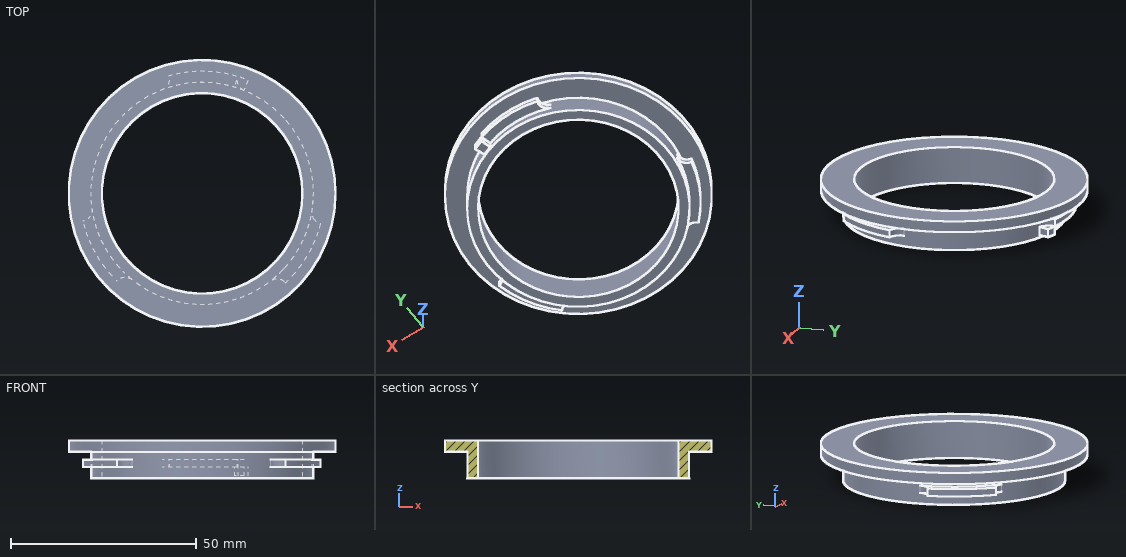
import cadquery as cq
import math

flange_diameter = 72.0
sleeve_diameter = 60.0
bore_diameter = 54.0
total_height = 10.2
flange_thickness = 3.1

lug_count = 3
lug_tip_radius = 33.0
lug_thickness = 2.0
lug_bottom = 3.0
lug_span_angle = 32.7
first_lug_angle = 89.4
lug_end_fillet = 2.95

stop_span_angle = 5.2
stop_height = 2.3

root_overlap = 0.7

sleeve_radius = sleeve_diameter / 2
flange_bottom = total_height - flange_thickness


def polar(radius, angle):
    """Point at a radius and an angle in degrees about the ring axis."""
    radians = math.radians(angle)
    return radius * math.cos(radians), radius * math.sin(radians)


def make_sector(start_angle, end_angle, bottom, height):
    """Block with radial ends, from inside the sleeve wall out to the lug tips."""
    root_radius = sleeve_radius - root_overlap
    middle_angle = (start_angle + end_angle) / 2
    return (
        cq.Workplane("XY", origin=(0, 0, bottom))
        .moveTo(*polar(root_radius, start_angle))
        .lineTo(*polar(lug_tip_radius, start_angle))
        .threePointArc(polar(lug_tip_radius, middle_angle), polar(lug_tip_radius, end_angle))
        .lineTo(*polar(root_radius, end_angle))
        .threePointArc(polar(root_radius, middle_angle), polar(root_radius, start_angle))
        .close()
        .extrude(height)
    )


def make_disc(diameter, bottom, top):
    """Disc about the ring axis between two heights."""
    return cq.Workplane("XY", origin=(0, 0, bottom)).circle(diameter / 2).extrude(top - bottom)


sleeve = make_disc(sleeve_diameter, 0, flange_bottom)
flange = make_disc(flange_diameter, flange_bottom, total_height)
bore = make_disc(bore_diameter, 0, total_height)
result = sleeve.union(flange).cut(bore)

lug_end_angles = []
for lug_index in range(lug_count):
    center_angle = first_lug_angle + lug_index * 360 / lug_count
    start_angle = center_angle - lug_span_angle / 2
    end_angle = center_angle + lug_span_angle / 2
    result = result.union(make_sector(start_angle, end_angle, lug_bottom, lug_thickness))
    lug_end_angles += [start_angle, end_angle]

for angle in lug_end_angles:
    corner = (*polar(sleeve_radius, angle), lug_bottom + lug_thickness / 2)
    result = result.edges(cq.NearestToPointSelector(corner)).fillet(lug_end_fillet)

stop_face_angle = first_lug_angle - lug_span_angle / 2
stop_far_angle = stop_face_angle - stop_span_angle
stop = make_sector(stop_far_angle, stop_face_angle, lug_bottom - stop_height, stop_height)
result = result.union(stop)